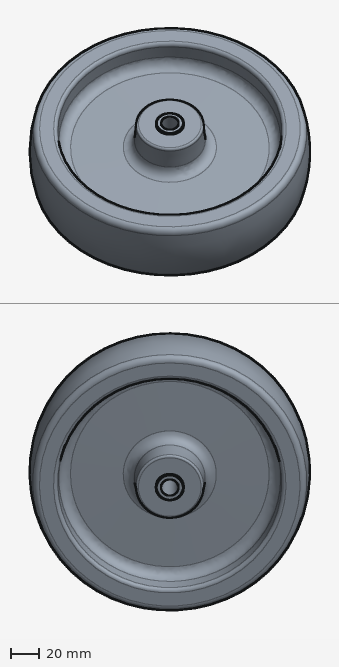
import cadquery as cq

outer_radius = 100.0
rim_half_width = 25.0
shoulder_radius = 97.5
shoulder_height = 20.8
shoulder_round_width = 4.8
shoulder_mid_inset = 1.5
shoulder_mid_drop = 1.2

pocket_mouth_radius = 80.0
pocket_floor_radius = 78.5
web_half_at_hub = 5.0
web_half_at_rim = 4.5
pocket_fillet = 8.2
mouth_fillet = 3.0

hub_base_radius = 25.8
hub_top_radius = 24.0
hub_half_length = 30.0
hub_fillet = 8.0
hub_edge_round = 1.8
sleeve_radius = 10.0
sleeve_half_length = 31.0
sleeve_chamfer = 0.5
bore_radius = 6.2


def ring_edge(solid, radius, height):
    """Selects the circular edge of the given radius at the given height."""
    tolerance = 0.02
    reach = radius + tolerance
    outer = cq.selectors.BoxSelector(
        (-reach, -reach, height - tolerance), (reach, reach, height + tolerance), boundingbox=True
    )
    edges = [edge for edge in solid.edges(outer).vals()
             if edge.geomType() == "CIRCLE" and abs(edge.radius() - radius) < tolerance]
    return solid.newObject(edges)


shoulder_start_radius = shoulder_radius - shoulder_round_width
shoulder_mid_radius = shoulder_radius - shoulder_mid_inset
shoulder_mid_height = rim_half_width - shoulder_mid_drop
wheel = (
    cq.Workplane("XZ")
    .moveTo(0, hub_half_length)
    .lineTo(hub_top_radius, hub_half_length)
    .lineTo(hub_base_radius, web_half_at_hub)
    .lineTo(pocket_floor_radius, web_half_at_rim)
    .lineTo(pocket_mouth_radius, rim_half_width)
    .lineTo(shoulder_start_radius, rim_half_width)
    .threePointArc((shoulder_mid_radius, shoulder_mid_height), (shoulder_radius, shoulder_height))
    .threePointArc((outer_radius, 0), (shoulder_radius, -shoulder_height))
    .threePointArc((shoulder_mid_radius, -shoulder_mid_height), (shoulder_start_radius, -rim_half_width))
    .lineTo(pocket_mouth_radius, -rim_half_width)
    .lineTo(pocket_floor_radius, -web_half_at_rim)
    .lineTo(hub_base_radius, -web_half_at_hub)
    .lineTo(hub_top_radius, -hub_half_length)
    .lineTo(0, -hub_half_length)
    .close()
    .revolve(360, (0, 0, 0), (0, 1, 0))
)

for edge_radius, edge_height, round_radius in [
    (hub_base_radius, web_half_at_hub, hub_fillet),
    (pocket_floor_radius, web_half_at_rim, pocket_fillet),
    (hub_top_radius, hub_half_length, hub_edge_round),
    (pocket_mouth_radius, rim_half_width, mouth_fillet),
]:
    for side in (1, -1):
        wheel = ring_edge(wheel, edge_radius, side * edge_height).fillet(round_radius)

sleeve = (
    cq.Workplane("XY")
    .circle(sleeve_radius)
    .extrude(sleeve_half_length, both=True)
    .faces("|Z").edges().chamfer(sleeve_chamfer)
)
bore = cq.Workplane("XY").circle(bore_radius).extrude(sleeve_half_length, both=True)

result = wheel.union(sleeve).cut(bore)